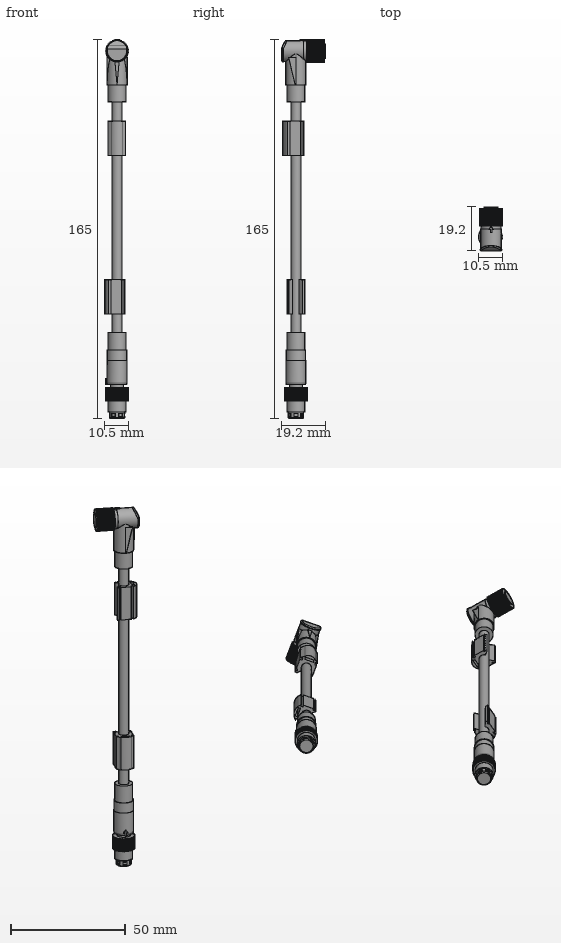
import cadquery as cq
import math

total_height = 165.0
nut_radius = 5.0
cable_radius = 4.5 / 2
grip_radius = 8.7 / 2
collar_radius = 4.0

tip_radius = 6.8 / 2
tip_chamfer = 0.5
tip_top = 3.0
plug_nut_bottom = 7.6
plug_nut_top = 13.5
neck_radius = 5.8 / 2
grip_bottom = 14.9
grip_top = 29.9
plug_top = 37.6
grip_band_level = 25.3
grip_band_relief = 0.08
grip_rim_chamfer = 0.2
grip_rim_height = 0.7
tip_window_count = 6
tip_window_width = 1.8
tip_window_bottom = 1.0
tip_window_top = 2.1
tip_window_depth = 0.5

knurl_teeth = 48
knurl_depth = 0.25

arrow_length = 2.6
arrow_head_length = 1.3
arrow_head_width = 2.0
arrow_stem_width = 0.7
arrow_root_radius = 3.3
arrow_height = nut_radius - arrow_root_radius

head_axis_level = total_height - nut_radius
head_nut_near = 4.6
head_nut_far = 12.4
socket_lip_radius = 3.1
socket_end = 12.9
head_arrow_tail = 1.8
shoulder_length = 1.3
shoulder_relief = 0.2
barrel_radius = 9.0 / 2
cap_radius = 9.4 / 2
cap_chamfer = 0.5
cap_face = 6.3
cap_back = 5.5
cap_bevel_start = 1.0
cap_bevel_mid = 2.5
cap_bevel_mid_face = 5.8
cap_top_face = 4.5
cap_top_back = 3.8
leg_bottom = 145.4
leg_collar_bottom = 138.0
leg_rib_width = 2.1
leg_rib_reach = 4.6
leg_pad_width = 3.1
leg_pad_foot_width = 0.3
leg_pad_reach = 4.5
leg_pad_top = 157.3

clip_height = 15.0
upper_clip_bottom = 114.5
lower_clip_bottom = 45.5
clip_half_width = 4.0
clip_short_half_width = 3.8
upper_clip_lobe_reach = 5.8
lower_clip_lobe_reach = 5.5
clip_lobe_edge = 3.6
clip_waist_edge = 2.6
clip_waist_depth = 1.0
clip_lip_start = 2.6
clip_lip_groove_start = 2.0
clip_lip_groove_depth = 0.7
clip_lobe_flank = 4.8
clip_jaw_reach = 3.5
clip_flat_edge = 2.5
clip_mouth_half_width = 3.0
label_slot_width = 4.0
label_slot_thickness = 1.0
label_slot_offset = 4.0


def cylinder(radius, bottom, top):
    return cq.Workplane("XY").workplane(offset=bottom).circle(radius).extrude(top - bottom)


def knurled_nut(length):
    """Toothed ring standing on the XY plane."""
    points = []
    for i in range(2 * knurl_teeth):
        radius = nut_radius - knurl_depth * (i % 2)
        angle = math.pi * i / knurl_teeth
        points.append((radius * math.cos(angle), radius * math.sin(angle)))
    return cq.Workplane("XY").polyline(points).close().extrude(length)


def arrow_mark():
    """Arrow pointing along +Y from its tail at the origin, standing on the XY plane."""
    neck = arrow_length - arrow_head_length
    stem = arrow_stem_width / 2
    head = arrow_head_width / 2
    outline = [
        (-stem, 0),
        (stem, 0),
        (stem, neck),
        (head, neck),
        (0, arrow_length),
        (-head, neck),
        (-stem, neck),
    ]
    return cq.Workplane("XY").polyline(outline).close().extrude(arrow_height)


def along_head(body):
    """Lay a body built along Z onto the socket axis, with its +Z towards +Y."""
    return body.rotate((0, 0, 0), (1, 0, 0), -90).translate((0, 0, head_axis_level))


def straight_plug():
    tip = cylinder(tip_radius, 0, tip_top).faces("<Z").chamfer(tip_chamfer)
    for i in range(tip_window_count):
        window = cq.Workplane("XY").box(
            2 * tip_window_depth, tip_window_width, tip_window_top - tip_window_bottom
        )
        window = window.translate((tip_radius, 0, (tip_window_bottom + tip_window_top) / 2))
        tip = tip.cut(window.rotate((0, 0, 0), (0, 0, 1), 360 * i / tip_window_count))
    plug = tip.union(cylinder(collar_radius, tip_top, plug_nut_bottom))
    plug = plug.union(knurled_nut(plug_nut_top - plug_nut_bottom).translate((0, 0, plug_nut_bottom)))
    plug = plug.union(cylinder(neck_radius, plug_nut_top, grip_bottom))
    grip = cylinder(grip_radius, grip_bottom, grip_band_level)
    grip = grip.faces("<Z").chamfer(grip_rim_height, grip_rim_chamfer)
    plug = plug.union(grip)
    plug = plug.union(cylinder(grip_radius - grip_band_relief, grip_band_level, grip_top))
    plug = plug.union(cylinder(collar_radius, grip_top, plug_top))
    arrow = arrow_mark().translate((0, 0, arrow_root_radius))
    arrow = arrow.rotate((0, 0, 0), (1, 0, 0), 90).rotate((0, 0, 0), (0, 0, 1), -90)
    return plug.union(arrow.translate((0, 0, grip_bottom)))


def head_cap():
    """End plate of the elbow, with its upper part bent back in two bevels."""
    profile = [
        (-cap_face, -cap_radius),
        (-cap_face, cap_bevel_start),
        (-cap_bevel_mid_face, cap_bevel_mid),
        (-cap_top_face, cap_radius),
        (-cap_top_back, cap_radius),
        (-cap_back, cap_bevel_start),
        (-cap_back, -cap_radius),
    ]
    plate = cq.Workplane("YZ").polyline(profile).close().extrude(cap_radius, both=True)
    disc = cylinder(cap_radius, -cap_face, 0).faces("<Z").chamfer(cap_chamfer)
    return along_head(disc).intersect(plate.translate((0, 0, head_axis_level)))


def head_barrel():
    """Horizontal barrel, trimmed to the bent-back line of the cap."""
    barrel = cylinder(barrel_radius, -cap_back, head_nut_near - shoulder_length)
    barrel = along_head(barrel)
    trim = (
        cq.Workplane("YZ")
        .polyline([(-cap_back, cap_bevel_start), (-cap_top_back, cap_radius), (-cap_back, cap_radius)])
        .close()
        .extrude(cap_radius, both=True)
        .translate((0, 0, head_axis_level))
    )
    shoulder = cylinder(barrel_radius - shoulder_relief, head_nut_near - shoulder_length, head_nut_near)
    return barrel.cut(trim).union(along_head(shoulder))


def leg():
    """Vertical leg with a tapered front rib and a tapered flat pad on each side."""
    body = cylinder(grip_radius, leg_bottom, head_axis_level)
    body = body.union(cylinder(collar_radius, leg_collar_bottom, leg_bottom))
    rib = (
        cq.Workplane("XZ")
        .polyline([(0, leg_bottom), (leg_rib_width / 2, leg_pad_top), (-leg_rib_width / 2, leg_pad_top)])
        .close()
        .extrude(leg_rib_reach)
    )
    pads = (
        cq.Workplane("YZ")
        .moveTo(0, leg_bottom)
        .lineTo(0, leg_pad_top)
        .lineTo(-leg_pad_width, leg_pad_top)
        .lineTo(-leg_pad_foot_width, leg_bottom)
        .close()
        .extrude(leg_pad_reach, both=True)
    )
    return body.union(rib).union(pads)


def angled_socket():
    nut = knurled_nut(head_nut_far - head_nut_near).translate((0, 0, head_nut_near))
    socket = along_head(nut.union(cylinder(socket_lip_radius, head_nut_far, socket_end)))
    arrow = arrow_mark().translate((0, head_arrow_tail, head_axis_level + arrow_root_radius))
    return socket.union(head_barrel()).union(head_cap()).union(leg()).union(arrow)


def label_clip(lobe_reach):
    """Clip whose label lobe faces -Y and whose jaws open towards +Y."""
    waist = clip_half_width - clip_waist_depth
    clip = (
        cq.Workplane("XY")
        .moveTo(-clip_half_width, -clip_lobe_edge)
        .lineTo(-clip_flat_edge, -clip_lobe_flank)
        .threePointArc((0, -lobe_reach), (clip_flat_edge, -clip_lobe_flank))
        .lineTo(clip_short_half_width, -clip_lobe_edge)
        .lineTo(waist, -clip_lobe_edge)
        .lineTo(waist, -clip_waist_edge)
        .lineTo(clip_short_half_width, -clip_waist_edge)
        .lineTo(clip_short_half_width, clip_lip_groove_start)
        .lineTo(clip_short_half_width - clip_lip_groove_depth, clip_lip_groove_start)
        .lineTo(clip_short_half_width - clip_lip_groove_depth, clip_lip_start)
        .lineTo(clip_short_half_width, clip_lip_start)
        .lineTo(clip_mouth_half_width, clip_jaw_reach)
        .lineTo(0, 0)
        .lineTo(-clip_mouth_half_width, clip_jaw_reach)
        .lineTo(-clip_half_width, clip_jaw_reach)
        .lineTo(-clip_half_width, clip_lip_start)
        .lineTo(-clip_half_width + clip_lip_groove_depth, clip_lip_start)
        .lineTo(-clip_half_width + clip_lip_groove_depth, clip_lip_groove_start)
        .lineTo(-clip_half_width, clip_lip_groove_start)
        .lineTo(-clip_half_width, -clip_waist_edge)
        .lineTo(-waist, -clip_waist_edge)
        .lineTo(-waist, -clip_lobe_edge)
        .close()
        .extrude(clip_height)
    )
    slot = cq.Workplane("XY").rect(label_slot_width, label_slot_thickness).extrude(clip_height)
    return clip.cut(slot.translate((0, -label_slot_offset, 0)))


upper_clip = label_clip(upper_clip_lobe_reach).translate((0, 0, upper_clip_bottom))
lower_clip = label_clip(lower_clip_lobe_reach).rotate((0, 0, 0), (0, 0, 1), -90)
lower_clip = lower_clip.translate((0, 0, lower_clip_bottom))
cable = cylinder(cable_radius, plug_top, leg_collar_bottom)

result = cable.union(straight_plug()).union(angled_socket()).union(upper_clip).union(lower_clip)